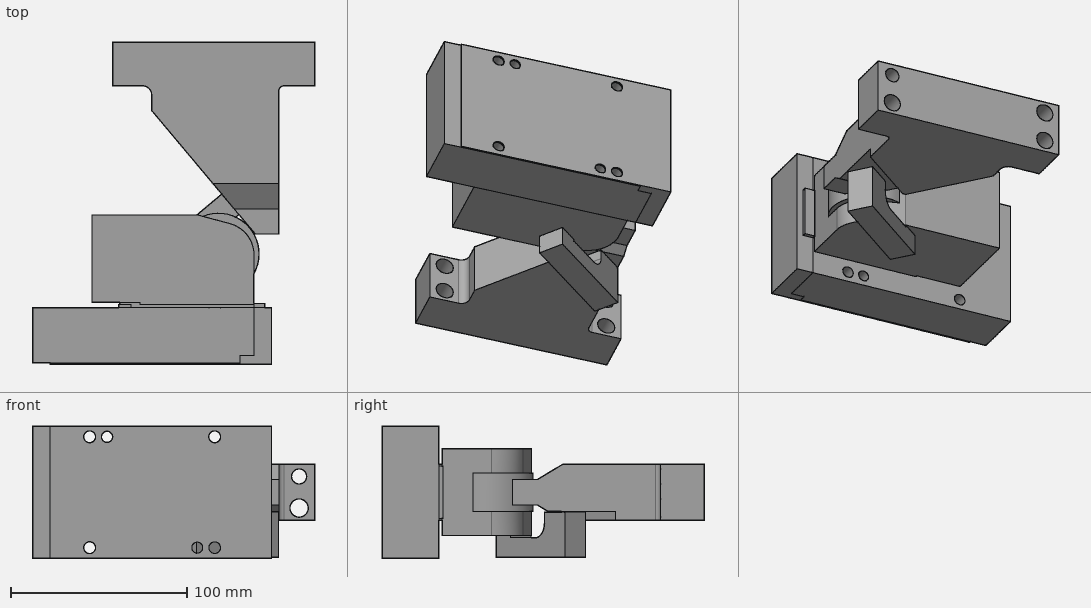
import cadquery as cq
import math


BASE_LENGTH = 135.8
BASE_HEIGHT = 75.0
BASE_BACK = 32.2
COVER_START = 9.9
COVER_SKIN = 1.0
COVER_WALL = 10.0
COVER_TOE_LENGTH = 18.1
COVER_TOE_DEPTH = 5.0
WALL_LEFT = BASE_LENGTH - COVER_WALL
TOE_LEFT = BASE_LENGTH - COVER_TOE_LENGTH

BASE_MIDDLE = BASE_LENGTH / 2
HOLE_ROW_HEIGHT = 31.5
SCREW_HALF_SPACING = 35.5
SCREW_DIAMETER = 6.5
DOWEL_HALF_SPACING = 25.6
DOWEL_DIAMETER = 6.2

HOUSING_LEFT = 33.7
HOUSING_RIGHT = WALL_LEFT
HOUSING_FRONT = 34.0
HOUSING_BACK = 85.0
HOUSING_HEIGHT = 49.5
RELIEF_RIGHT = 61.1
RELIEF_DEPTH = 1.1
CORNER_RADIUS = 18.3
CORNER_CENTRE_Y = 62.2
CORNER_SLOPE = 15.0
DISC_CENTRE_X = 105.5
DISC_CENTRE_Y = 62.8
DISC_RADIUS = 23.0
DISC_THICKNESS = 21.6

PAD_LEFT = 49.5
PAD_HEIGHT = 29.6
STOP_LEFT = 48.9
STOP_LENGTH = 7.1
STOP_HEIGHT = 31.8
LUG_LENGTH = 6.2
LUG_BACK = 34.5

BRACKET_BACK = 183.0
BRACKET_THICKNESS = 32.0
FLANGE_LEFT = 45.4
FLANGE_LENGTH = 115.0
FLANGE_DEPTH = 24.9
FLANGE_FRONT = BRACKET_BACK - FLANGE_DEPTH
FLANGE_RIGHT = FLANGE_LEFT + FLANGE_LENGTH
WEB_LEFT = 67.5
WEB_RIGHT = 139.8
SLANT_START_Y = 144.2
SLANT_ANGLE = 50.0
TIP_Y = 74.0
LEFT_FILLET = 5.0
RIGHT_FILLET = 3.0
TAPER_BACK = 102.7
TAPER_FRONT = 88.2
TONGUE_THICKNESS = 14.6
GROOVE_START_Y = 101.7
GROOVE_TOP = -10.8
FLANGE_HOLE_INSET = 9.0
FLANGE_HOLE_HEIGHT = 9.0
FLANGE_HOLE_DIAMETER = 10.2
SMALL_FLANGE_HOLE_DIAMETER = 8.5

LINK_CORNER_X = 93.0
LINK_CORNER_Y = 64.8
LINK_ANGLE = 90.0 - SLANT_ANGLE
LINK_LENGTH = 61.0
LINK_WIDTH = 15.2
LINK_BOTTOM = -37.0
LINK_BAR_TOP = -25.8
LINK_HOOK_TOP = -11.3
LINK_SEAT_LENGTH = 12.8
LINK_HOOK_START = 42.5
LINK_FILLET = 8.0


def centred_block(x_min, x_max, y_min, y_max, height):
    """Box given by its limits along X and Y, symmetric about the mid plane."""
    middle = ((x_min + x_max) / 2, (y_min + y_max) / 2, 0)
    return cq.Workplane("XY").box(x_max - x_min, y_max - y_min, height).translate(middle)


def hole_along_y(x, z, diameter, y_min, y_max):
    """Cylinder along Y that cuts a hole."""
    start = cq.Vector(x, y_min, z)
    return cq.Workplane(cq.Solid.makeCylinder(diameter / 2, y_max - y_min, start, cq.Vector(0, 1, 0)))


def drill_mounting_holes(body):
    """Four screw holes, and a dowel hole beside two of them on one diagonal."""
    places = []
    for side in (-1, 1):
        for row in (-1, 1):
            places.append((side * SCREW_HALF_SPACING, row * HOLE_ROW_HEIGHT, SCREW_DIAMETER))
        places.append((side * DOWEL_HALF_SPACING, -side * HOLE_ROW_HEIGHT, DOWEL_DIAMETER))
    for offset, z, diameter in places:
        body = body.cut(hole_along_y(BASE_MIDDLE + offset, z, diameter, 0, BASE_BACK))
    return body


def make_cover():
    """L-shaped cover: thin front skin, thicker toe, end wall and a lug behind the wall."""
    skin = centred_block(COVER_START, BASE_LENGTH, 0, COVER_SKIN, BASE_HEIGHT)
    toe = centred_block(TOE_LEFT, BASE_LENGTH, 0, COVER_TOE_DEPTH, BASE_HEIGHT)
    wall = centred_block(WALL_LEFT, BASE_LENGTH, 0, BASE_BACK, BASE_HEIGHT)
    lug = centred_block(WALL_LEFT, WALL_LEFT + LUG_LENGTH, BASE_BACK, LUG_BACK, PAD_HEIGHT)
    return drill_mounting_holes(skin.union(toe).union(wall).union(lug))


def make_base():
    """Block that fills the cover, with the stepped pad for the housing and side stops on its back."""
    body = centred_block(0, WALL_LEFT, COVER_SKIN, BASE_BACK, BASE_HEIGHT)
    body = body.cut(centred_block(TOE_LEFT, WALL_LEFT, COVER_SKIN, COVER_TOE_DEPTH, BASE_HEIGHT))
    body = drill_mounting_holes(body)
    pad = centred_block(PAD_LEFT, WALL_LEFT, BASE_BACK, HOUSING_FRONT, PAD_HEIGHT)
    relief_back = HOUSING_FRONT + RELIEF_DEPTH
    raised_end = centred_block(PAD_LEFT, RELIEF_RIGHT, BASE_BACK, relief_back, PAD_HEIGHT)
    stop_right = STOP_LEFT + STOP_LENGTH
    stops = centred_block(STOP_LEFT, stop_right, BASE_BACK, HOUSING_FRONT, STOP_HEIGHT)
    stops = stops.cut(centred_block(STOP_LEFT, stop_right, BASE_BACK, HOUSING_FRONT, PAD_HEIGHT))
    return body.union(pad).union(raised_end).union(stops)


def make_housing():
    """Block with a rounded back corner, from which a flat disc stands out."""
    slope = math.radians(CORNER_SLOPE)
    centre_x = HOUSING_RIGHT - CORNER_RADIUS
    middle = math.radians(90 - CORNER_SLOPE) / 2
    arc_middle = (
        centre_x + CORNER_RADIUS * math.cos(middle),
        CORNER_CENTRE_Y + CORNER_RADIUS * math.sin(middle),
    )
    arc_end = (
        centre_x + CORNER_RADIUS * math.sin(slope),
        CORNER_CENTRE_Y + CORNER_RADIUS * math.cos(slope),
    )
    slope_start_x = arc_end[0] - (HOUSING_BACK - arc_end[1]) / math.tan(slope)
    body = (
        cq.Workplane("XY", origin=(0, 0, -HOUSING_HEIGHT / 2))
        .moveTo(HOUSING_LEFT, HOUSING_FRONT + RELIEF_DEPTH)
        .lineTo(RELIEF_RIGHT, HOUSING_FRONT + RELIEF_DEPTH)
        .lineTo(RELIEF_RIGHT, HOUSING_FRONT)
        .lineTo(HOUSING_RIGHT, HOUSING_FRONT)
        .lineTo(HOUSING_RIGHT, CORNER_CENTRE_Y)
        .threePointArc(arc_middle, arc_end)
        .lineTo(slope_start_x, HOUSING_BACK)
        .lineTo(HOUSING_LEFT, HOUSING_BACK)
        .close()
        .extrude(HOUSING_HEIGHT)
    )
    disc = (
        cq.Workplane("XY", origin=(DISC_CENTRE_X, DISC_CENTRE_Y, -DISC_THICKNESS / 2))
        .circle(DISC_RADIUS)
        .extrude(DISC_THICKNESS)
    )
    return body.union(disc)


def make_bracket():
    """Flanged arm with one slanted side, tapering to a tongue and grooved below for the link."""
    slant_slope = math.tan(math.radians(SLANT_ANGLE))
    slant_end_x = WEB_LEFT + (SLANT_START_Y - TIP_Y) / slant_slope
    outline = [
        (FLANGE_LEFT, BRACKET_BACK),
        (FLANGE_LEFT, FLANGE_FRONT),
        (WEB_LEFT, FLANGE_FRONT),
        (WEB_LEFT, SLANT_START_Y),
        (slant_end_x, TIP_Y),
        (WEB_RIGHT, TIP_Y),
        (WEB_RIGHT, FLANGE_FRONT),
        (FLANGE_RIGHT, FLANGE_FRONT),
        (FLANGE_RIGHT, BRACKET_BACK),
    ]
    half_thickness = BRACKET_THICKNESS / 2
    body = cq.Workplane("XY", origin=(0, 0, -half_thickness)).polyline(outline).close()
    body = body.extrude(BRACKET_THICKNESS)
    for corner_x, radius in ((WEB_LEFT, LEFT_FILLET), (WEB_RIGHT, RIGHT_FILLET)):
        nearest = cq.selectors.NearestToPointSelector((corner_x, FLANGE_FRONT, 0))
        body = body.edges("|Z").edges(nearest).fillet(radius)

    half_tongue = TONGUE_THICKNESS / 2
    for side in (-1, 1):
        taper = (
            cq.Workplane("YZ")
            .moveTo(TAPER_BACK, side * half_thickness)
            .lineTo(TAPER_FRONT, side * half_tongue)
            .lineTo(TIP_Y, side * half_tongue)
            .lineTo(TIP_Y, side * half_thickness)
            .close()
            .extrude(FLANGE_RIGHT)
        )
        body = body.cut(taper)

    groove_start_x = WEB_LEFT + (SLANT_START_Y - GROOVE_START_Y) / slant_slope
    groove_end_y = GROOVE_START_Y + (WEB_RIGHT - groove_start_x) / slant_slope
    groove_outline = [
        (groove_start_x, GROOVE_START_Y),
        (WEB_RIGHT, groove_end_y),
        (WEB_RIGHT, TIP_Y),
        (slant_end_x, TIP_Y),
    ]
    groove = cq.Workplane("XY", origin=(0, 0, -half_thickness)).polyline(groove_outline).close()
    body = body.cut(groove.extrude(GROOVE_TOP + half_thickness))

    left_x = FLANGE_LEFT + FLANGE_HOLE_INSET
    right_x = FLANGE_RIGHT - FLANGE_HOLE_INSET
    holes = [
        (left_x, FLANGE_HOLE_HEIGHT, FLANGE_HOLE_DIAMETER),
        (left_x, -FLANGE_HOLE_HEIGHT, FLANGE_HOLE_DIAMETER),
        (right_x, FLANGE_HOLE_HEIGHT, SMALL_FLANGE_HOLE_DIAMETER),
        (right_x, -FLANGE_HOLE_HEIGHT, FLANGE_HOLE_DIAMETER),
    ]
    for x, z, diameter in holes:
        body = body.cut(hole_along_y(x, z, diameter, FLANGE_FRONT, BRACKET_BACK))
    return body


def make_link():
    """Bar with a seat under the housing; its far end rises as a hook into the bracket groove."""
    angle = math.radians(LINK_ANGLE)
    along = cq.Vector(math.cos(angle), math.sin(angle), 0)
    towards_front = cq.Vector(math.sin(angle), -math.cos(angle), 0)
    side_plane = cq.Plane((LINK_CORNER_X, LINK_CORNER_Y, 0), along, towards_front)
    fillet_mid = LINK_FILLET * math.sqrt(0.5)
    fillet_start = LINK_HOOK_START - LINK_FILLET
    fillet_top = LINK_BAR_TOP + LINK_FILLET
    housing_underside = -HOUSING_HEIGHT / 2
    return (
        cq.Workplane(side_plane)
        .moveTo(0, LINK_BOTTOM)
        .lineTo(LINK_LENGTH, LINK_BOTTOM)
        .lineTo(LINK_LENGTH, LINK_HOOK_TOP)
        .lineTo(LINK_HOOK_START, LINK_HOOK_TOP)
        .lineTo(LINK_HOOK_START, fillet_top)
        .threePointArc((fillet_start + fillet_mid, fillet_top - fillet_mid), (fillet_start, LINK_BAR_TOP))
        .lineTo(LINK_SEAT_LENGTH, LINK_BAR_TOP)
        .lineTo(LINK_SEAT_LENGTH, housing_underside)
        .lineTo(0, housing_underside)
        .close()
        .extrude(-LINK_WIDTH)
    )


base = make_base()
cover = make_cover()
housing = make_housing()
bracket = make_bracket()
link = make_link()

result = cq.Compound.makeCompound(
    [base.val(), cover.val(), housing.val(), bracket.val(), link.val()]
)